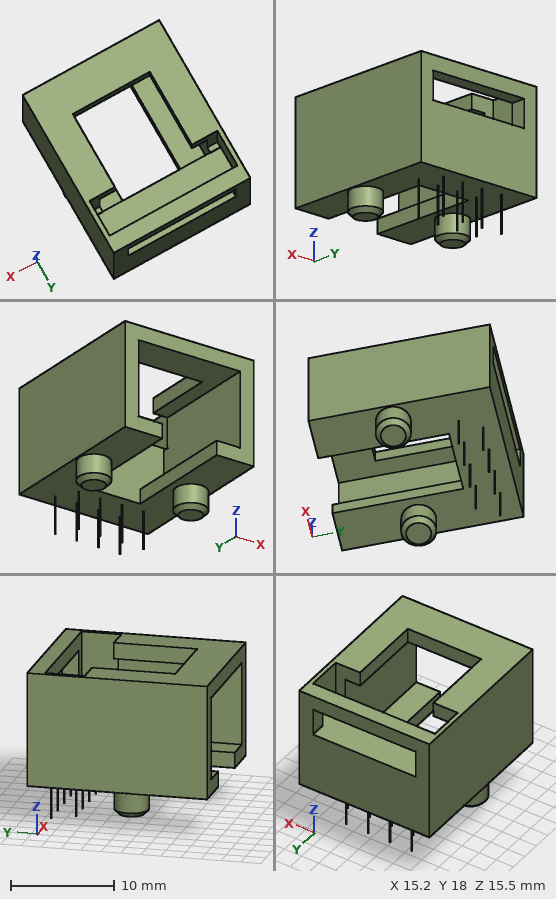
import cadquery as cq

WIDTH = 15.2
DEPTH = 18.0
TOTAL_HEIGHT = 15.48
PIN_LENGTH = 4.03
HEIGHT = TOTAL_HEIGHT - PIN_LENGTH
BACK = DEPTH / 2

CAVITY_WIDTH = 11.95
ROOF = 1.62
FLOOR = 1.57
FLOOR_SLOT_WIDTH = 6.4

BLOCK_TOP = HEIGHT - 4.68
BLOCK_DEPTH = 5.02

POCKET_WIDTH = 14.2
POCKET_BACK = BACK - 1.7
POCKET_FRONT = BACK - 5.65
LEDGE_DROP = 0.22
LEDGE_Z = BLOCK_TOP - LEDGE_DROP
ROOF_SLOT_WIDTH = 8.55
ROOF_SLOT_FRONT = BACK - 13.97

PEG_DIAMETER = 3.44
PEG_LENGTH = 2.54
PEG_CHAMFER = 0.5
PEG_X = 5.72
PEG_Y = BACK - 9.99

PIN_COUNT = 8
PIN_PITCH = 1.27
PIN_SIZE = 0.09
PIN_ROWS_Y = (BACK - 1.62, BACK - 3.78)


def block(width, y_front, y_back, z_bottom, z_top):
    """Box centred on X = 0 between the given Y and Z limits."""
    return (
        cq.Workplane("XY", origin=(0, (y_front + y_back) / 2, z_bottom))
        .box(width, y_back - y_front, z_top - z_bottom, centered=(True, True, False))
    )


def make_housing():
    body = block(WIDTH, -BACK, BACK, 0, HEIGHT)
    body = body.cut(block(CAVITY_WIDTH, -BACK, BACK, FLOOR, HEIGHT - ROOF))
    body = body.cut(block(FLOOR_SLOT_WIDTH, -BACK, BACK, 0, FLOOR))
    body = body.cut(block(POCKET_WIDTH, POCKET_FRONT, POCKET_BACK, LEDGE_Z, HEIGHT))
    return body.cut(block(ROOF_SLOT_WIDTH, ROOF_SLOT_FRONT, POCKET_FRONT, HEIGHT - ROOF, HEIGHT))


def make_contact_block():
    block_front = BACK - BLOCK_DEPTH
    core = block(CAVITY_WIDTH, block_front, BACK, 0, BLOCK_TOP)
    flange = block(POCKET_WIDTH, block_front, POCKET_BACK, LEDGE_Z, BLOCK_TOP)
    return core.union(flange)


def make_pegs():
    return (
        cq.Workplane("XY")
        .pushPoints([(-PEG_X, PEG_Y), (PEG_X, PEG_Y)])
        .circle(PEG_DIAMETER / 2)
        .extrude(-PEG_LENGTH)
        .faces("<Z")
        .chamfer(PEG_CHAMFER)
    )


def make_pins():
    first_x = -PIN_PITCH * (PIN_COUNT - 1) / 2
    places = [
        (first_x + i * PIN_PITCH, PIN_ROWS_Y[i % len(PIN_ROWS_Y)])
        for i in range(PIN_COUNT)
    ]
    return cq.Workplane("XY").pushPoints(places).rect(PIN_SIZE, PIN_SIZE).extrude(-PIN_LENGTH)


result = make_housing().union(make_contact_block()).union(make_pegs()).union(make_pins())